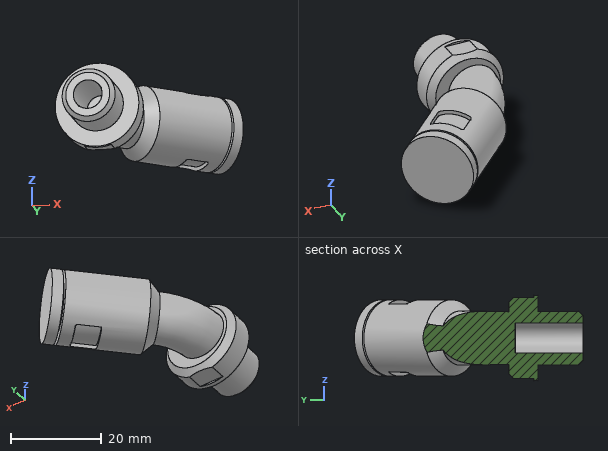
import cadquery as cq
import math

spigot_dia = 12.0
spigot_length = 10.0
spigot_chamfer = 1.0
bore_dia = 6.5
flange_dia = 19.0
flange_top = 16.55
flange_chamfer = 1.5
bore_depth = flange_top - flange_chamfer

flat_half_spacing = 9.0
flat_start = spigot_length + 1.0

bend_angle = 45.0
bend_radius = 17.0
neck_dia = 12.0
neck_start_x = -1.2
neck_start_y = 15.25

socket_dia = 17.0
socket_length = 24.65
socket_cone = (socket_dia - neck_dia) / 2
groove_dia = 12.5
groove_width = 0.5
collar_length = 2.55

window_width = 7.8
window_length = 5.9
window_depth = 0.9
window_corner = 0.5
window_center = socket_length - 9.05


def cylinder_y(diameter, start, end):
    """Cylinder on the Y axis between two Y positions."""
    plane = cq.Workplane("XZ", origin=(0, start, 0))
    return plane.circle(diameter / 2).extrude(start - end)


def make_flange():
    flange = cylinder_y(flange_dia, spigot_length, flange_top)
    flange = flange.faces(">Y").chamfer(flange_chamfer)
    for side in (1, -1):
        cutter = cq.Workplane("XY").box(
            flange_dia, flange_top - flat_start, flange_dia, centered=(True, False, True)
        )
        offset = flat_half_spacing + flange_dia / 2
        flange = flange.cut(cutter.translate((0, flat_start, side * offset)))
    return flange


angle = math.radians(bend_angle)


def bend_point(turn):
    """Centreline position after turning by the given angle."""
    return (
        neck_start_x + bend_radius * (1 - math.cos(turn)),
        neck_start_y + bend_radius * math.sin(turn),
    )


def make_neck():
    path = (
        cq.Workplane("XY")
        .moveTo(*bend_point(0))
        .threePointArc(bend_point(angle / 2), bend_point(angle))
    )
    section = cq.Workplane("XZ", origin=(neck_start_x, neck_start_y, 0))
    return section.circle(neck_dia / 2).sweep(path)


def cut_windows(socket):
    """Cut the rounded windows, leaving a cylindrical floor concentric with the wall."""
    floor = cq.Workplane("XY").circle(socket_dia / 2 - window_depth).extrude(socket_length)
    cutter = (
        cq.Workplane("XZ", origin=(0, socket_dia / 2, window_center))
        .rect(window_width, window_length)
        .extrude(socket_dia)
        .edges("|Y")
        .fillet(window_corner)
    )
    return socket.cut(cutter.cut(floor))


def make_socket():
    """Socket around its own Z axis, starting with the cone at Z = 0."""
    radius = socket_dia / 2
    groove_radius = groove_dia / 2
    collar_start = socket_length - collar_length
    groove_start = collar_start - groove_width
    socket = (
        cq.Workplane("XZ")
        .polyline([
            (0, 0),
            (neck_dia / 2, 0),
            (radius, socket_cone),
            (radius, groove_start),
            (groove_radius, groove_start),
            (groove_radius, collar_start),
            (radius, collar_start),
            (radius, socket_length),
            (0, socket_length),
        ])
        .close()
        .revolve(360, (0, 0, 0), (0, 1, 0))
    )
    return cut_windows(socket)


def place_on_bend(socket):
    """Move the socket onto the end of the neck with its windows facing +Z and -Z."""
    end_x, end_y = bend_point(angle)
    return (
        socket.rotate((0, 0, 0), (1, 0, 0), -90)
        .rotate((0, 0, 0), (0, 0, 1), -bend_angle)
        .translate((end_x, end_y, 0))
    )


spigot = cylinder_y(spigot_dia, 0, spigot_length).faces("<Y").chamfer(spigot_chamfer)
bore = cylinder_y(bore_dia, 0, bore_depth)

result = (
    spigot.union(make_flange())
    .union(make_neck())
    .union(place_on_bend(make_socket()))
    .cut(bore)
)